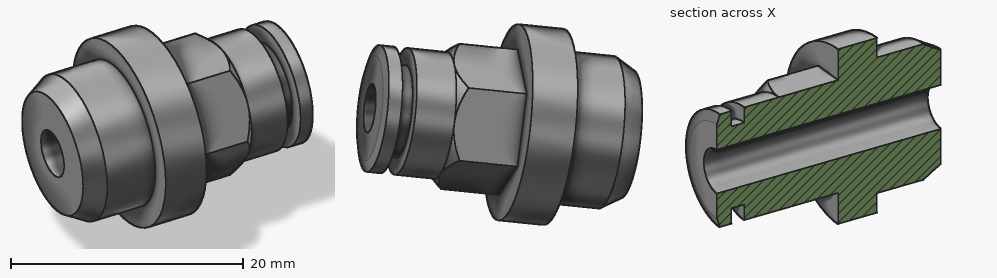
import cadquery as cq
import math

length = 22.8
plug_length = 6.5
tip_chamfer_length = 1.8
flange_length = 4.0
hex_length = 6.02
sleeve_length = 3.5
groove_length = 1.28
collar_chamfer_length = 0.3

tip_diameter = 11.13
plug_diameter = 13.22
flange_diameter = 17.0
sleeve_diameter = 11.0
groove_diameter = 8.0
collar_end_diameter = 9.12
bore_diameter = 4.22

hex_across_flats = sleeve_diameter
hex_across_corners = hex_across_flats / math.cos(math.radians(30))
hex_chamfer_length = 0.87

flange_start = plug_length
hex_start = flange_start + flange_length
hex_end = hex_start + hex_length
groove_start = hex_end + sleeve_length
collar_start = groove_start + groove_length


def revolve_profile(outline):
    """Revolve (radius, position) points about the Y axis."""
    axis_start = (0, outline[0][1])
    axis_end = (0, outline[-1][1])
    profile = cq.Workplane("XY").polyline([axis_start, *outline, axis_end]).close()
    return profile.revolve(360, (0, 0, 0), (0, 1, 0))


def make_turned_body():
    """Plug, flange, sleeve, groove and release collar in one profile."""
    return revolve_profile([
        (tip_diameter / 2, 0),
        (plug_diameter / 2, tip_chamfer_length),
        (plug_diameter / 2, flange_start),
        (flange_diameter / 2, flange_start),
        (flange_diameter / 2, hex_start),
        (sleeve_diameter / 2, hex_start),
        (sleeve_diameter / 2, groove_start),
        (groove_diameter / 2, groove_start),
        (groove_diameter / 2, collar_start),
        (sleeve_diameter / 2, collar_start),
        (sleeve_diameter / 2, length - collar_chamfer_length),
        (collar_end_diameter / 2, length),
    ])


def make_hex():
    """Wrench hexagon whose corners are trimmed by a cone at the sleeve end."""
    prism = (
        cq.Workplane("XZ", origin=(0, hex_start, 0))
        .polygon(6, hex_across_corners)
        .extrude(-hex_length)
    )
    corner_cone = revolve_profile([
        (hex_across_corners / 2, hex_start),
        (hex_across_corners / 2, hex_end - hex_chamfer_length),
        (hex_across_flats / 2, hex_end),
    ])
    return prism.intersect(corner_cone)


def make_bore():
    """Straight passage through the whole fitting."""
    return cq.Workplane("XZ").circle(bore_diameter / 2).extrude(-length)


result = make_turned_body().union(make_hex()).cut(make_bore())